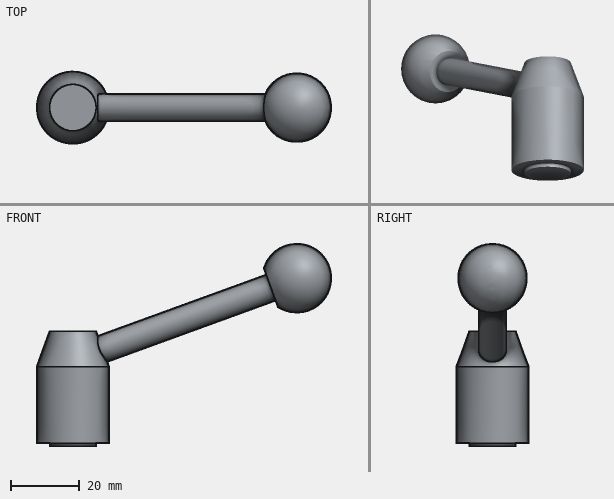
import cadquery as cq
import math

hub_diameter = 21.0
hub_end_diameter = 13.5
foot_height = 1.0
hub_shoulder_z = 23.2
hub_height = 33.5

arm_diameter = 8.0
arm_angle = 20.0

ball_diameter = 20.0
ball_flat_diameter = 12.0
ball_center_x = 65.0
ball_center_z = 48.85

arm_rise = math.radians(arm_angle)
arm_direction = cq.Vector(math.cos(arm_rise), 0, math.sin(arm_rise))
ball_center = cq.Vector(ball_center_x, 0, ball_center_z)
arm_length = ball_center_x / math.cos(arm_rise)
arm_start = ball_center - arm_direction * arm_length


def make_hub():
    """Turned hub: small foot, cylindrical body and tapered top."""
    body_radius = hub_diameter / 2
    end_radius = hub_end_diameter / 2
    profile = [
        (0, 0),
        (end_radius, 0),
        (end_radius, foot_height),
        (body_radius, foot_height),
        (body_radius, hub_shoulder_z),
        (end_radius, hub_height),
        (0, hub_height),
    ]
    return cq.Workplane("XZ").polyline(profile).close().revolve(360, (0, 0), (0, 1))


def arm_plane(origin):
    """Plane square to the arm axis, facing the ball."""
    return cq.Plane(origin=origin, xDir=(0, 1, 0), normal=arm_direction)


def make_arm():
    """Round rod from the hub axis to the ball centre."""
    return cq.Workplane(arm_plane(arm_start)).circle(arm_diameter / 2).extrude(arm_length)


def make_ball():
    """Sphere with a cap cut away square to the arm."""
    radius = ball_diameter / 2
    flat_distance = math.sqrt(radius**2 - (ball_flat_diameter / 2) ** 2)
    flat_center = ball_center - arm_direction * flat_distance
    sphere = cq.Workplane("XY").sphere(radius).translate(ball_center)
    cap = cq.Workplane(arm_plane(flat_center)).circle(radius).extrude(-radius)
    return sphere.cut(cap)


result = make_hub().union(make_arm()).union(make_ball())